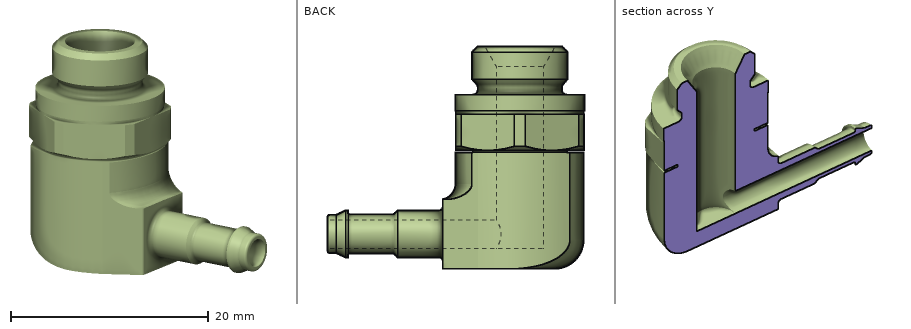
import cadquery as cq
import math


body_half_width = 6.5
body_top = 11.8
wall_radius = 9.75
back_edge_x = -5.08
side_end_x = 4.22
face_x = 7.82
taper_angle = 30
face_corner_round = 0.25
heel_round = 3.0
front_wall_x = 6.55
front_wall_radius = 8.73
notch_floor = 7.05
notch_round = 1.56

neck_radius = 4.8
hex_bottom = 12.02
hex_top = 15.7
hex_across_flats = 13.0
hex_across_corners = 14.4
hex_chamfer_angle = 30

collar_top = 17.68
collar_step = 0.3
collar_radius = 13.15 / 2
stud_top = 22.55
stud_radius = 9.72 / 2
stud_chamfer = 0.57
thread_bottom = 19.25
relief_radius = 8.58 / 2
relief_round = 0.45
relief_low = collar_top + relief_round
relief_high = 18.43

nipple_z = 3.55
shoulder_radius = 4.8 / 2
hose_radius = 4.0 / 2
tip_radius = 3.9 / 2
root_round = 0.36
shoulder_end = 12.38
shoulder_chamfer = 0.3
shoulder_round = 0.2
barb_start = 17.41
barb_root_round = 0.15
barb_land = 0.23
barb_end = 18.6
nipple_end = 26.07 - collar_radius
tip_round = 0.25

stud_bore_radius = 4.8 / 2
mouth_radius = 7.12 / 2
mouth_half_angle = 30
nipple_bore_radius = 2.9 / 2
bore_floor = nipple_z - nipple_bore_radius

diagonal = math.sqrt(0.5)


def tan_deg(angle):
    return math.tan(math.radians(angle))


def wall_sag(offset):
    """Setback of a curved wall at a distance from its middle."""
    return wall_radius - math.sqrt(wall_radius**2 - offset**2)


def cylinder(radius, bottom, top):
    return cq.Workplane("XY").workplane(offset=bottom).circle(radius).extrude(top - bottom)


def revolve_at(profile, x):
    """Revolve an XZ profile about the vertical line at x."""
    return profile.revolve(360, (x, 0, 0), (x, 1, 0))


def make_body():
    back_x = -collar_radius
    back_y = body_half_width - wall_sag(back_edge_x)
    side_y = body_half_width - wall_sag(side_end_x)
    face_y = side_y - (face_x - side_end_x) * tan_deg(taper_angle)
    body = (
        cq.Workplane("XY")
        .moveTo(back_x, -body_half_width + wall_sag(back_x))
        .threePointArc((0, -body_half_width), (side_end_x, -side_y))
        .lineTo(face_x, -face_y)
        .lineTo(face_x, face_y)
        .lineTo(side_end_x, side_y)
        .threePointArc((0, body_half_width), (back_x, body_half_width - wall_sag(back_x)))
        .close()
        .extrude(body_top)
    )
    body = body.edges("|Z and >X").fillet(face_corner_round)

    back_middle_x = back_edge_x - wall_sag(back_y)
    back_center_x = back_middle_x + wall_radius
    heel_center_x = back_middle_x + heel_round
    envelope = revolve_at(
        cq.Workplane("XZ")
        .moveTo(back_center_x, 0)
        .lineTo(heel_center_x, 0)
        .threePointArc(
            (heel_center_x - heel_round * diagonal, heel_round * (1 - diagonal)),
            (back_middle_x, heel_round),
        )
        .lineTo(back_middle_x, body_top)
        .lineTo(back_center_x, body_top)
        .close(),
        back_center_x,
    )
    body = body.intersect(envelope)

    front_center_x = front_wall_x - front_wall_radius
    foot_x = front_wall_x + notch_round
    foot_z = notch_floor + notch_round
    outside_x = 2 * face_x
    notch = revolve_at(
        cq.Workplane("XZ")
        .moveTo(front_wall_x, body_top)
        .lineTo(front_wall_x, foot_z)
        .threePointArc(
            (foot_x - notch_round * diagonal, foot_z - notch_round * diagonal),
            (foot_x, notch_floor),
        )
        .lineTo(outside_x, notch_floor)
        .lineTo(outside_x, body_top)
        .close(),
        front_center_x,
    )
    front_half = cq.Workplane("XY").box(outside_x, outside_x, body_top, centered=(False, True, False))
    return body.cut(notch.intersect(front_half))


def make_hexagon():
    height = hex_top - hex_bottom
    base = cq.Workplane("XY").workplane(offset=hex_bottom)
    hexagon = base.polygon(6, hex_across_flats, circumscribed=True).extrude(height)
    corner_cut = base.polygon(6, hex_across_corners, circumscribed=True).extrude(height)
    corner_cut = corner_cut.rotate((0, 0, 0), (0, 0, 1), 30)
    hexagon = hexagon.intersect(corner_cut)

    flat_radius = hex_across_flats / 2
    cone_radius = flat_radius + height / tan_deg(hex_chamfer_angle)
    cone = base.circle(flat_radius).workplane(offset=height).circle(cone_radius).loft(ruled=True)
    return hexagon.intersect(cone)


def make_stud():
    flank = relief_round * diagonal
    mid_angle = math.radians(22.5)
    relief_center = relief_radius + relief_round
    return revolve_at(
        cq.Workplane("XZ")
        .moveTo(0, collar_top)
        .lineTo(relief_center, collar_top)
        .threePointArc(
            (relief_center - flank, relief_low - flank),
            (relief_radius, relief_low),
        )
        .lineTo(relief_radius, relief_high)
        .threePointArc(
            (
                relief_center - relief_round * math.cos(mid_angle),
                relief_high + relief_round * math.sin(mid_angle),
            ),
            (relief_center - flank, relief_high + flank),
        )
        .lineTo(stud_radius, thread_bottom)
        .lineTo(stud_radius, stud_top - stud_chamfer)
        .lineTo(stud_radius - stud_chamfer, stud_top)
        .lineTo(0, stud_top)
        .close(),
        0,
    )


def make_nipple():
    root = shoulder_radius + root_round
    chamfer_radius = shoulder_radius - shoulder_chamfer
    barb_root = hose_radius + barb_root_round
    inset = 1 - diagonal
    profile = (
        cq.Workplane("XZ", origin=(0, 0, nipple_z))
        .moveTo(0, 0)
        .lineTo(face_x, 0)
        .lineTo(face_x, root)
        .threePointArc(
            (face_x + root_round * inset, root - root_round * diagonal),
            (face_x + root_round, shoulder_radius),
        )
        .lineTo(shoulder_end, shoulder_radius)
        .lineTo(shoulder_end + shoulder_chamfer, chamfer_radius)
        .tangentArcPoint((shoulder_end + shoulder_chamfer + shoulder_round, hose_radius), relative=False)
        .lineTo(barb_start - barb_root_round, hose_radius)
        .threePointArc(
            (barb_start - barb_root_round * inset, hose_radius + barb_root_round * inset),
            (barb_start, barb_root),
        )
        .lineTo(barb_start, shoulder_radius)
        .lineTo(barb_start + barb_land, shoulder_radius)
        .lineTo(barb_end, tip_radius)
        .lineTo(nipple_end - tip_round, tip_radius)
        .threePointArc(
            (nipple_end - tip_round * inset, tip_radius - tip_round * inset),
            (nipple_end, tip_radius - tip_round),
        )
        .lineTo(nipple_end, 0)
        .close()
    )
    return profile.revolve(360, (0, 0, 0), (1, 0, 0))


def make_passage():
    mouth_depth = (mouth_radius - stud_bore_radius) / tan_deg(mouth_half_angle)
    stud_bore = cylinder(stud_bore_radius, bore_floor, stud_top)
    mouth = (
        cq.Workplane("XY")
        .workplane(offset=stud_top - mouth_depth)
        .circle(stud_bore_radius)
        .workplane(offset=mouth_depth)
        .circle(mouth_radius)
        .loft(ruled=True)
    )
    nipple_bore = (
        cq.Workplane("YZ", origin=(0, 0, nipple_z)).circle(nipple_bore_radius).extrude(nipple_end)
    )
    return stud_bore.union(mouth).union(nipple_bore)


neck = cylinder(neck_radius, body_top, hex_bottom)
collar_base = cylinder(hex_across_flats / 2, hex_top, hex_top + collar_step)
collar = cylinder(collar_radius, hex_top + collar_step, collar_top)

result = make_body()
for section in (neck, make_hexagon(), collar_base, collar, make_stud(), make_nipple()):
    result = result.union(section)
result = result.cut(make_passage())